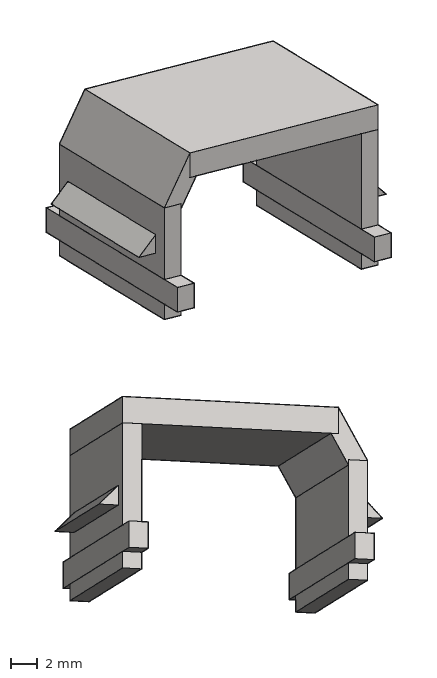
import cadquery as cq
import math

total_depth = 22.0
total_height = 13.0
bar_length = 18.0

cover_width = 14.4
wall_thickness = 1.5
roof_thickness = 2.0
slope_rise = 3.94
slope_from_vertical = math.radians(30)

foot_height = 1.25
bar_height = 2.0

catch_width = 12.03
catch_reach = 1.5
catch_height = 1.5
catch_bottom = 4.97

wall_outer = total_depth / 2 - catch_reach
bar_top = foot_height + bar_height
front_wall_top = total_height - slope_rise
rear_wall_top = total_height - roof_thickness
roof_front = -wall_outer + slope_rise * math.tan(slope_from_vertical)


def extrude_along_x(points, width):
    """Prism with the given Y-Z outline, centred on X."""
    return cq.Workplane("YZ").polyline(points).close().extrude(width / 2, both=True)


def block(width, y_start, y_end, z_bottom, z_top):
    """Box centred on X between the given Y and Z limits."""
    outline = [(y_start, z_bottom), (y_end, z_bottom), (y_end, z_top), (y_start, z_top)]
    return extrude_along_x(outline, width)


def wall_strip(side, width, z_bottom, z_top):
    """Full-thickness strip in the wall plane; side is -1 at the front, 1 at the rear."""
    return block(width, side * wall_outer, side * (wall_outer - wall_thickness), z_bottom, z_top)


def make_catch(side):
    """Triangular ridge with a flat underside."""
    return extrude_along_x(
        [
            (side * wall_outer, catch_bottom),
            (side * (wall_outer + catch_reach), catch_bottom),
            (side * wall_outer, catch_bottom + catch_height),
        ],
        catch_width,
    )


def make_wall(side, top):
    """Wall above the cross bar, with its catch."""
    return wall_strip(side, cover_width, bar_top, top).union(make_catch(side))


def make_bar(side):
    """Cross bar whose ends project beyond the wall."""
    return wall_strip(side, bar_length, foot_height, bar_top)


def make_foot(side):
    """Strip below the cross bar."""
    return wall_strip(side, cover_width, 0, foot_height)


def make_roof():
    """Flat top plate from the rear wall to the sloped panel."""
    return block(cover_width, roof_front, wall_outer, rear_wall_top, total_height)


def make_sloped_panel(roof, front_wall):
    """Tilted plate, trimmed where it meets the roof and the front wall."""
    inward_y = wall_thickness * math.cos(slope_from_vertical)
    inward_z = -wall_thickness * math.sin(slope_from_vertical)
    plate = extrude_along_x(
        [
            (roof_front, total_height),
            (-wall_outer, front_wall_top),
            (-wall_outer + inward_y, front_wall_top + inward_z),
            (roof_front + inward_y, total_height + inward_z),
        ],
        cover_width,
    )
    return plate.cut(roof).cut(front_wall)


roof = make_roof()
front_wall = make_wall(-1, front_wall_top)
rear_wall = make_wall(1, rear_wall_top)
sloped_panel = make_sloped_panel(roof, front_wall)

bars = []
feet = []
for side in (-1, 1):
    bars.append(make_bar(side).val())
    feet.append(make_foot(side).val())

result = cq.Compound.makeCompound(
    [
        roof.val(),
        *sloped_panel.vals(),
        *front_wall.vals(),
        *rear_wall.vals(),
        *bars,
        *feet,
    ]
)